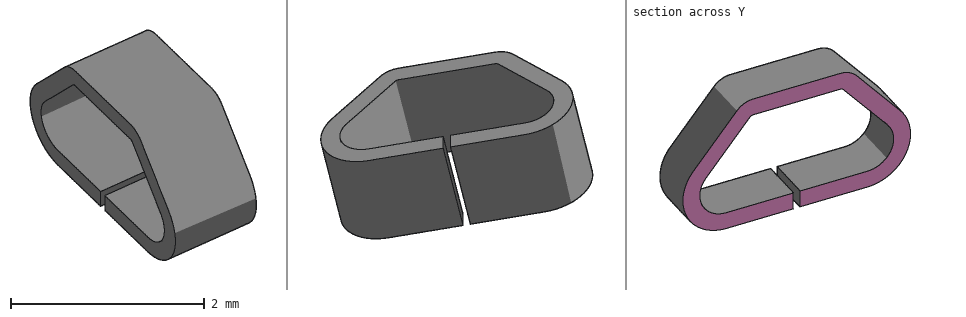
import cadquery as cq
import math

width = 2.667
depth = 1.016
height = 1.524

thickness = 0.2032
seam_gap = 0.0762
top_flat = 1.016
lower_radius = 0.508
upper_radius = 0.254

lower_x = width / 2 - lower_radius
lower_z = lower_radius
upper_x = top_flat / 2
upper_z = height - upper_radius

centre_distance = math.hypot(lower_x - upper_x, upper_z - lower_z)
centre_line_angle = math.atan2(upper_z - lower_z, upper_x - lower_x)
normal_angle = centre_line_angle - math.acos((lower_radius - upper_radius) / centre_distance)


def on_circle(x, z, radius, angle):
    """Point on a bend at the given angle from +X."""
    return (x + radius * math.cos(angle), z + radius * math.sin(angle))


def mirrored(point):
    """The matching point on the -X side."""
    return (-point[0], point[1])


def ring_body(inset):
    """Closed prism bounded by the outer outline moved inward by inset."""
    lower_r = lower_radius - inset
    upper_r = upper_radius - inset
    up = math.pi / 2
    down = -math.pi / 2

    base_end = on_circle(lower_x, lower_z, lower_r, down)
    lower_mid = on_circle(lower_x, lower_z, lower_r, (down + normal_angle) / 2)
    side_bottom = on_circle(lower_x, lower_z, lower_r, normal_angle)
    side_top = on_circle(upper_x, upper_z, upper_r, normal_angle)
    upper_mid = on_circle(upper_x, upper_z, upper_r, (normal_angle + up) / 2)
    top_end = on_circle(upper_x, upper_z, upper_r, up)

    return (
        cq.Workplane("XZ")
        .moveTo(*mirrored(base_end))
        .lineTo(*base_end)
        .threePointArc(lower_mid, side_bottom)
        .lineTo(*side_top)
        .threePointArc(upper_mid, top_end)
        .lineTo(*mirrored(top_end))
        .threePointArc(mirrored(upper_mid), mirrored(side_top))
        .lineTo(*mirrored(side_bottom))
        .threePointArc(mirrored(lower_mid), mirrored(base_end))
        .close()
        .extrude(depth / 2, both=True)
    )


def seam():
    """Block that splits the base where the strip ends meet."""
    seam_height = 2 * thickness
    return cq.Workplane("XY").box(seam_gap, depth, seam_height)


result = ring_body(0).cut(ring_body(thickness)).cut(seam())